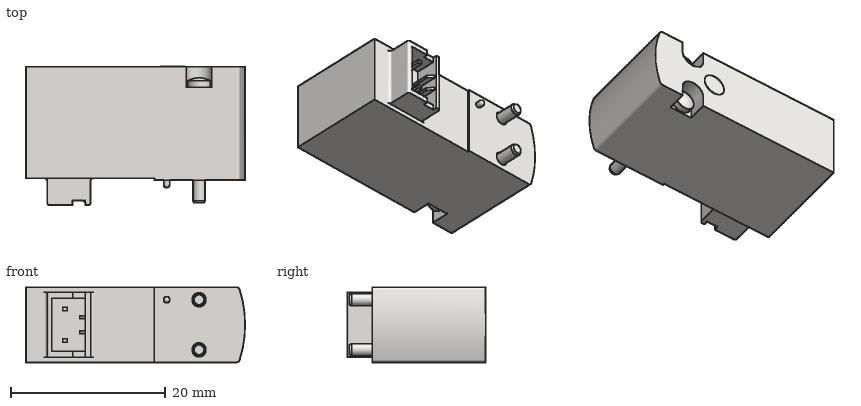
import cadquery as cq
import math


LENGTH = 28.5
HEIGHT = 9.8
BODY_DEPTH = 14.5
STEP_X = 16.7
STEP_HEIGHT = 0.25
END_RADIUS = 15.0
END_CORNER_RADIUS = 0.5
MOUNT_FACE_Y = -(BODY_DEPTH + STEP_HEIGHT)

SHELL_CENTER_X = 5.6
SHELL_WIDTH = 5.65
SHELL_HEIGHT = 8.4
SHELL_LENGTH = 3.5
SHELL_ROUND = 0.3
SHELL_FOOT_FILLET = 0.35
CAVITY_WIDTH = 4.35
CAVITY_HEIGHT = 6.9
NOTCH_WIDTH = 1.65
NOTCH_DEPTH = 0.6
SHELL_LEFT = SHELL_CENTER_X - SHELL_WIDTH / 2
SHELL_RIGHT = SHELL_CENTER_X + SHELL_WIDTH / 2
SHELL_END_Y = -(BODY_DEPTH + SHELL_LENGTH)
CAVITY_CENTER_X = 5.57
CAVITY_RIGHT = CAVITY_CENTER_X + CAVITY_WIDTH / 2

CONTACT_X = 5.1
CONTACT_PITCH = 4.06
CONTACT_WIDTH = 0.55
CONTACT_HEIGHT = 0.45
CONTACT_LENGTH = 3.2
RIB_PITCH = 1.94
RIB_WIDTH = 0.75
RIB_THICKNESS = 0.4
RIB_LENGTH = 3.2
RIB_EDGE_LENGTH = 2.45

LOCATING_PIN_X = 18.3
LOCATING_PIN_Z = 3.25
LOCATING_PIN_DIAMETER = 0.8
LOCATING_PIN_LENGTH = 1.0

PAD_X = 19.1
PAD_DIAMETER = 3.1
PAD_HEIGHT = 0.03

SCREW_X = 22.5
SCREW_Z = 3.25
CLEARANCE_DIAMETER = 1.8
POCKET_WIDTH = 3.3
POCKET_DEPTH = 2.7
HEAD_DIAMETER = 2.9
HEAD_RIM_HEIGHT = 0.85
HEAD_DOME_HEIGHT = 0.4
SHANK_DIAMETER = 1.6
TIP_DIAMETER = 1.3
TIP_TAPER = 0.3
SCREW_END_Y = -17.7


def make_body():
    """Block with a stepped front face and a curved right end."""
    end_sagitta = END_RADIUS - math.sqrt(END_RADIUS**2 - (HEIGHT / 2) ** 2)
    corner_x = LENGTH - end_sagitta
    block = (
        cq.Workplane("XZ")
        .moveTo(0, -HEIGHT / 2)
        .lineTo(corner_x, -HEIGHT / 2)
        .threePointArc((LENGTH, 0), (corner_x, HEIGHT / 2))
        .lineTo(0, HEIGHT / 2)
        .close()
        .extrude(-MOUNT_FACE_Y)
        .edges("|Y and (not <X)")
        .fillet(END_CORNER_RADIUS)
    )
    step = cq.Workplane("XY").box(STEP_X, STEP_HEIGHT, HEIGHT, centered=(False, False, True))
    return block.cut(step.translate((0, MOUNT_FACE_Y, 0)))


def make_shell():
    """Hollow connector shell with flared feet, rounded mouth and a notch in both side walls."""
    foot_y = -BODY_DEPTH
    flare = SHELL_FOOT_FILLET
    mid = flare * (1 - math.sqrt(0.5))
    shell = (
        cq.Workplane("XY")
        .moveTo(SHELL_LEFT - flare, foot_y)
        .threePointArc((SHELL_LEFT - mid, foot_y - mid), (SHELL_LEFT, foot_y - flare))
        .lineTo(SHELL_LEFT, SHELL_END_Y)
        .lineTo(SHELL_RIGHT, SHELL_END_Y)
        .lineTo(SHELL_RIGHT, foot_y - flare)
        .threePointArc((SHELL_RIGHT + mid, foot_y - mid), (SHELL_RIGHT + flare, foot_y))
        .close()
        .extrude(SHELL_HEIGHT / 2, both=True)
        .edges("|Z and <Y")
        .fillet(SHELL_ROUND)
    )
    cavity = (
        cq.Workplane("XZ", origin=(CAVITY_CENTER_X, foot_y, 0))
        .rect(CAVITY_WIDTH, CAVITY_HEIGHT)
        .extrude(SHELL_LENGTH)
    )
    notch = (
        cq.Workplane("XY")
        .box(NOTCH_WIDTH, NOTCH_DEPTH, SHELL_HEIGHT, centered=(False, False, True))
        .translate((CAVITY_RIGHT - NOTCH_WIDTH, SHELL_END_Y, 0))
    )
    return shell.cut(cavity).cut(notch)


def make_contact(z):
    """Rectangular contact standing on the cavity floor."""
    return (
        cq.Workplane("XZ", origin=(CONTACT_X, -BODY_DEPTH, z))
        .rect(CONTACT_WIDTH, CONTACT_HEIGHT)
        .extrude(CONTACT_LENGTH)
    )


def make_rib(z):
    """Keying rib along the right cavity wall, with a slanted end."""
    return (
        cq.Workplane("XY", origin=(CAVITY_RIGHT, -BODY_DEPTH, z))
        .polyline([(0, 0), (0, -RIB_LENGTH), (-RIB_WIDTH, -RIB_EDGE_LENGTH), (-RIB_WIDTH, 0)])
        .close()
        .extrude(RIB_THICKNESS / 2, both=True)
    )


def make_locating_pin():
    """Short pin with a hemispherical end."""
    radius = LOCATING_PIN_DIAMETER / 2
    straight_length = LOCATING_PIN_LENGTH - radius
    pin = (
        cq.Workplane("XZ", origin=(LOCATING_PIN_X, MOUNT_FACE_Y, LOCATING_PIN_Z))
        .circle(radius)
        .extrude(straight_length)
    )
    tip_center = (LOCATING_PIN_X, MOUNT_FACE_Y - straight_length, LOCATING_PIN_Z)
    return pin.union(cq.Workplane("XY").sphere(radius).translate(tip_center))


def make_pad():
    """Thin round pad on the rear face."""
    return cq.Workplane("XZ", origin=(PAD_X, 0, 0)).circle(PAD_DIAMETER / 2).extrude(-PAD_HEIGHT)


def make_screw_opening(side):
    """Clearance hole and U-shaped head pocket, open to the top (side = 1) or bottom (side = -1)."""
    center = (SCREW_X, 0, side * SCREW_Z)
    hole = cq.Workplane("XZ", origin=center).circle(CLEARANCE_DIAMETER / 2).extrude(-MOUNT_FACE_Y)
    pocket = cq.Workplane("XZ", origin=center).circle(POCKET_WIDTH / 2).extrude(POCKET_DEPTH)
    mouth = (
        cq.Workplane("XZ", origin=center)
        .center(0, side * POCKET_WIDTH / 2)
        .rect(POCKET_WIDTH, POCKET_WIDTH)
        .extrude(POCKET_DEPTH)
    )
    return hole.union(pocket).union(mouth)


def make_housing():
    housing = make_body().union(make_shell()).union(make_locating_pin()).union(make_pad())
    for side in (1, -1):
        housing = housing.union(make_contact(side * CONTACT_PITCH / 2))
        housing = housing.union(make_rib(side * RIB_PITCH / 2))
        housing = housing.cut(make_screw_opening(side))
    return housing


def make_screw(z):
    """Dome-headed screw with a tapered tip, turned about an axis along Y."""
    head_radius = HEAD_DIAMETER / 2
    shank_radius = SHANK_DIAMETER / 2
    seat_y = -POCKET_DEPTH
    rim_y = seat_y + HEAD_RIM_HEIGHT
    top_y = rim_y + HEAD_DOME_HEIGHT
    dome_radius = (head_radius**2 + HEAD_DOME_HEIGHT**2) / (2 * HEAD_DOME_HEIGHT)
    dome_mid_x = head_radius / 2
    dome_mid_y = top_y - dome_radius + math.sqrt(dome_radius**2 - dome_mid_x**2)
    return (
        cq.Workplane("XY", origin=(SCREW_X, 0, z))
        .moveTo(0, SCREW_END_Y)
        .lineTo(TIP_DIAMETER / 2, SCREW_END_Y)
        .lineTo(shank_radius, SCREW_END_Y + TIP_TAPER)
        .lineTo(shank_radius, seat_y)
        .lineTo(head_radius, seat_y)
        .lineTo(head_radius, rim_y)
        .threePointArc((dome_mid_x, dome_mid_y), (0, top_y))
        .close()
        .revolve(360, (0, 0, 0), (0, 1, 0))
    )


housing = make_housing()
screws = [make_screw(side * SCREW_Z) for side in (1, -1)]

result = cq.Compound.makeCompound([housing.val(), *[screw.val() for screw in screws]])